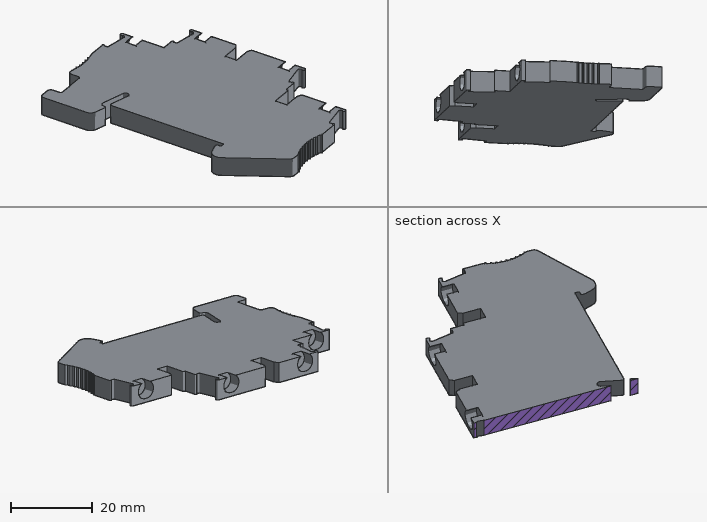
import cadquery as cq
import math

height = 45.85
thickness = 5.15

right_edge = 67.45
lower_top = 35.25
upper_left = 13.3
upper_right = 48.85

slot_width = 3.3
slot_depth = 5.87
slot_lead_in = 0.62
slot_lead_depth = 1.2
upper_slot_x = 28.07
lower_slot_x = 49.48
slot_shoulder_radius = 0.3

bore_radius = 2.2
bore_flat = 0.54
bore_mouth = 2.75
bore_depth = 3.0
bore_inset = 5.6

rail_recess_depth = 3.44
rail_recess_top = 12.7
rail_recess_bottom = 4.18
recess_radius = 0.55
recess_lip_radius = 0.85
hook_radius = 1.05
heel_radius = 0.8
toe_x = 16.2
toe_y = 4.62
toe_radius = 0.3
sole_radius = 2.0

spring_radius = 0.83
spring_end_x = 17.12
spring_end_y = 11.9
spring_angle = math.radians(16.2)
spring_root_y = 4.8
spring_corner_radius = 0.5
spring_root_radius = 1.0

seat_y = 5.91
seat_end_x = 49.5
catch_x = 48.27
catch_y = 4.72
catch_inner_radius = 0.25
catch_outer_radius = 0.4
catch_flank_radius = 1.0
nose_left_x = 49.45
nose_right_x = 51.85
nose_radius = 2.0
flank_angle = math.radians(18)
ramp_angle = math.radians(30.6)
ramp_end_radius = 1.5

grip_end_radius = 1.5
rib_pitch = 1.29
rib_root_half_width = 0.5
rib_height = 0.35
left_grip_y = 18.7
left_grip_chord = 9.0
left_grip_depth = 0.6
left_rib_count = 5
right_grip_y = 17.25
right_grip_chord = 11.36
right_grip_depth = 1.23
right_rib_count = 9


def clamp_end(side_x, top_y, inward):
    """Corners (x, y, radius) of a ledge, a leaning wall and a hooked lip, from the ledge up."""
    corners = [
        (0.0, -6.9, 0.15),
        (0.5, -6.9, 0.15),
        (0.6, -7.15, 0.0),
        (1.55, -7.15, 0.3),
        (2.65, -0.75, 0.55),
        (1.75, -0.75, 0.0),
        (1.6, -1.0, 0.15),
        (1.05, -1.0, 0.3),
        (1.05, 0.0, 0.4),
    ]
    return [(side_x + inward * x, top_y + y, radius) for x, y, radius in corners]


def spring_side(y, side):
    """X of the left (-1) or right (+1) wall of the spring slot at height y."""
    centre_x = spring_end_x - (spring_end_y - y) * math.tan(spring_angle)
    return centre_x + side * spring_radius / math.cos(spring_angle)


def spring_end_corner(side):
    """Square corner of the spring slot end, rounded later into a half circle."""
    along = (math.sin(spring_angle), math.cos(spring_angle))
    across = (math.cos(spring_angle), -math.sin(spring_angle))
    x = spring_end_x + spring_radius * (along[0] + side * across[0])
    y = spring_end_y + spring_radius * (along[1] + side * across[1])
    return (x, y, spring_radius)


def outline_corners():
    """Housing outline, clockwise from the lower left corner, as (x, y, corner radius)."""
    ramp_end_y = (right_edge - nose_right_x) * math.tan(ramp_angle)
    catch_flank_y = (nose_left_x - catch_x) / math.tan(flank_angle)
    upper_slot_end = upper_slot_x + slot_width
    lower_slot_end = lower_slot_x + slot_width

    corners = [
        (0, 0, heel_radius),
        (0, rail_recess_bottom, hook_radius),
        (rail_recess_depth, rail_recess_bottom, recess_radius),
        (rail_recess_depth, rail_recess_top, recess_radius),
        (0, rail_recess_top, recess_lip_radius),
    ]
    corners += clamp_end(0, lower_top, 1)
    corners += [(upper_left, lower_top, 0)]
    corners += clamp_end(upper_left, height, 1)
    corners += [
        (upper_slot_x - slot_lead_in, height, 0),
        (upper_slot_x, height - slot_lead_depth, 0),
        (upper_slot_x, height - slot_depth, 0),
        (upper_slot_end, height - slot_depth, 0),
        (upper_slot_end, height - slot_lead_depth, 0),
        (upper_slot_end + slot_lead_in, height, 0),
    ]
    corners += reversed(clamp_end(upper_right, height, -1))
    corners += [
        (upper_right, lower_top, 0),
        (lower_slot_x, lower_top, slot_shoulder_radius),
        (lower_slot_x, lower_top - slot_depth, 0),
        (lower_slot_end, lower_top - slot_depth, 0),
        (lower_slot_end, lower_top - slot_lead_depth, 0),
        (lower_slot_end + slot_lead_in, lower_top, 0),
    ]
    corners += reversed(clamp_end(right_edge, lower_top, -1))
    corners += [
        (right_edge, ramp_end_y, ramp_end_radius),
        (nose_right_x, 0, nose_radius),
        (nose_left_x, 0, nose_radius),
        (catch_x, catch_flank_y, catch_flank_radius),
        (catch_x, catch_y, catch_outer_radius),
        (seat_end_x, catch_y, catch_inner_radius),
        (seat_end_x, seat_y, 0),
        (spring_side(seat_y, 1), seat_y, spring_corner_radius),
        spring_end_corner(1),
        spring_end_corner(-1),
        (spring_side(spring_root_y, -1), spring_root_y, spring_root_radius),
        (toe_x, toe_y, toe_radius),
        (toe_x - toe_y * math.tan(spring_angle), 0, sole_radius),
    ]
    return corners


def rounded_corner(before, corner, after):
    """Start, middle and end of the tangent arc that rounds a corner."""
    point = cq.Vector(corner[0], corner[1])
    radius = corner[2]
    to_before = (cq.Vector(before[0], before[1]) - point).normalized()
    to_after = (cq.Vector(after[0], after[1]) - point).normalized()
    half_angle = to_before.getAngle(to_after) / 2
    setback = radius / math.tan(half_angle)
    bisector = (to_before + to_after).normalized()
    middle = point + bisector * (radius / math.sin(half_angle) - radius)
    return point + to_before * setback, middle, point + to_after * setback


def rounded_plate(corners):
    """Extrude a closed outline whose corners carry their own radii."""
    shortest_line = 1e-6
    edges = []
    first = None
    last = None
    for i, corner in enumerate(corners):
        after = corners[(i + 1) % len(corners)]
        if corner[2] > 0:
            start, middle, end = rounded_corner(corners[i - 1], corner, after)
        else:
            start = end = cq.Vector(corner[0], corner[1])
        if last is None:
            first = start
        elif (start - last).Length > shortest_line:
            edges.append(cq.Edge.makeLine(last, start))
        if corner[2] > 0:
            edges.append(cq.Edge.makeThreePointArc(start, middle, end))
        last = end
    edges.append(cq.Edge.makeLine(last, first))
    return cq.Workplane("XY").add(cq.Wire.assembleEdges(edges)).toPending().extrude(thickness)


def wire_bore(centre_x, top_y):
    """Flattened bore along Y, high enough in the plate to open a mouth in its top face."""
    mouth_reach = (bore_mouth - bore_flat) / 2
    centre_z = thickness - math.sqrt(bore_radius**2 - mouth_reach**2)
    return (
        cq.Workplane("XZ", origin=(centre_x, top_y, centre_z))
        .slot2D(bore_flat + 2 * bore_radius, 2 * bore_radius)
        .extrude(bore_depth)
    )


def hollow_radius(chord, depth):
    """Radius of the arc with this chord and depth."""
    return ((chord / 2) ** 2 + depth**2) / (2 * depth)


def add_grip(body, edge_x, outward, centre_y, chord, depth, rib_count):
    """Hollow one side edge with an arc and stand ribs along it."""
    radius = hollow_radius(chord, depth)
    centre_x = edge_x + outward * (radius - depth)
    hollow = cq.Workplane("XY").center(centre_x, centre_y).circle(radius).extrude(thickness)
    body = body.cut(hollow)
    for end_y in (centre_y - chord / 2, centre_y + chord / 2):
        grip_end = cq.selectors.NearestToPointSelector((edge_x, end_y, thickness / 2))
        body = body.edges("|Z").edges(grip_end).fillet(grip_end_radius)
    for i in range(rib_count):
        offset = (i - (rib_count - 1) / 2) * rib_pitch
        y = centre_y + offset
        floor_x = centre_x - outward * math.sqrt(radius**2 - offset**2)
        tip_x = floor_x + outward * rib_height
        root_x = floor_x - outward * rib_height
        rib = (
            cq.Workplane("XY")
            .polyline([(root_x, y - rib_root_half_width), (tip_x, y), (root_x, y + rib_root_half_width)])
            .close()
            .extrude(thickness)
        )
        body = body.union(rib)
    return body


result = rounded_plate(outline_corners())
result = add_grip(result, 0, -1, left_grip_y, left_grip_chord, left_grip_depth, left_rib_count)
result = add_grip(result, right_edge, 1, right_grip_y, right_grip_chord, right_grip_depth, right_rib_count)

bores = [
    (bore_inset, lower_top),
    (right_edge - bore_inset, lower_top),
    (upper_left + bore_inset, height),
    (upper_right - bore_inset, height),
]
for bore_x, bore_top in bores:
    result = result.cut(wire_bore(bore_x, bore_top))